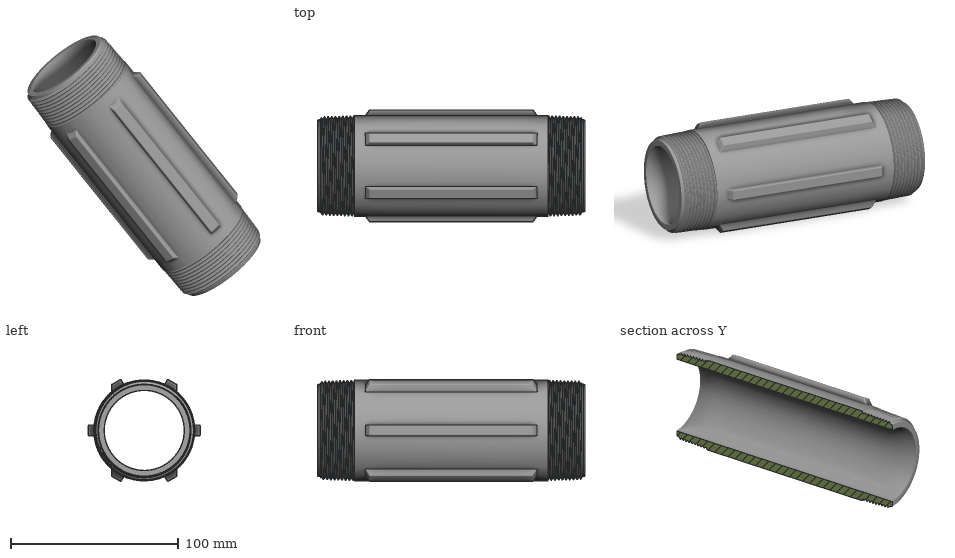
import cadquery as cq
import math

total_length = 160.02
body_length = 115.6
body_radius = 60.45 / 2
bore_radius = 47.75 / 2
half_length = total_length / 2
half_body = body_length / 2

pitch = 25.4 / 11.5
radius_gain = 1 / 32
end_root_radius = 27.9
thread_depth = 1.4
crest_width = 0.1 * pitch
flank_run = thread_depth * math.tan(math.radians(30))
root_width = pitch - crest_width - 2 * flank_run
outer_crest_distance = 2.5
inner_turns = 10
thread_turns = inner_turns + 2
core_depth = 6.0

lead_radius = 27.7
lead_length = 1.7
lead_slope = math.radians(60)
chamfer_length = 1.0
end_face_radius = 27.3

rib_spacing = 60
rib_tip_radius = 67.06 / 2
rib_root_radius = 28.5
rib_width = 6.5
rib_tip_length = 97.6
rib_end_draft = math.radians(36)
rib_edge_radius = 0.7


def make_thread_rod():
    """Right-hand tapered thread on a core, along Z with its nominal end face at Z = 0."""
    crest_start = root_width + flank_run
    tooth = [
        (0, 0),
        (root_width, 0),
        (crest_start, thread_depth),
        (crest_start + crest_width, thread_depth),
        (pitch, 0),
    ]
    core_line = [(pitch, -core_depth), (0, -core_depth)]
    rod_start = -outer_crest_distance - inner_turns * pitch - crest_start - crest_width / 2
    cone_angle = math.degrees(math.atan(radius_gain))
    slant_pitch = pitch * math.hypot(1, radius_gain)

    def place(corner, turn):
        axial, height = corner
        z = rod_start + turn * pitch + axial
        return end_root_radius - radius_gain * z + height, z

    def helix_turn(corner, turn):
        radius, z = place(corner, turn)
        wire = cq.Wire.makeHelix(slant_pitch, slant_pitch, radius, angle=-cone_angle)
        return wire.translate(cq.Vector(0, 0, z)).Edges()[0]

    def strip(first_corner, second_corner, turn):
        return cq.Face.makeRuledSurface(helix_turn(first_corner, turn), helix_turn(second_corner, turn))

    faces = []
    for turn in range(thread_turns):
        for first_corner, second_corner in zip(tooth, tooth[1:]):
            faces.append(strip(first_corner, second_corner, turn))
        faces.append(strip(*core_line, turn))

    for turn in (0, thread_turns):
        faces.append(strip(core_line[-1], tooth[0], turn))
        section = [place(corner, turn) for corner in tooth + core_line]
        points = [cq.Vector(radius, 0, z) for radius, z in section]
        faces.append(cq.Face.makeFromWires(cq.Wire.makePolygon(points, close=True)))

    return cq.Workplane(obj=cq.Solid.makeSolid(cq.Shell.makeShell(faces)))


def make_threaded_end():
    """Threaded end on the +X side before boring, from the barrel shoulder to the end face."""
    lead_start = half_length - lead_length
    lead_rise = body_radius - lead_radius
    envelope = [
        (half_body, 0),
        (half_body, body_radius),
        (lead_start - lead_rise / math.tan(lead_slope), body_radius),
        (lead_start, lead_radius),
        (half_length - chamfer_length, lead_radius),
        (half_length, end_face_radius),
        (half_length, 0),
    ]
    blank = cq.Workplane("XY").polyline(envelope).close().revolve(360, (0, 0, 0), (1, 0, 0))
    rod = make_thread_rod().rotate((0, 0, 0), (0, 1, 0), 90).translate((half_length, 0, 0))
    return blank.intersect(rod, clean=False)


def make_rib(angle):
    """Rib at an angle up from +Y, with drafted ends and its lower flank kept vertical if inclined."""
    height = rib_tip_radius - rib_root_radius
    half_tip = rib_tip_length / 2
    half_root = half_tip + height * math.tan(rib_end_draft)
    side_profile = [
        (-half_root, rib_root_radius),
        (half_root, rib_root_radius),
        (half_tip, rib_tip_radius),
        (-half_tip, rib_tip_radius),
    ]
    flank_lean = height / math.tan(math.radians(angle)) if angle else 0
    section = [
        (-rib_width / 2, rib_root_radius),
        (-rib_width / 2, rib_tip_radius),
        (rib_width / 2, rib_tip_radius),
        (rib_width / 2 + flank_lean, rib_root_radius),
    ]
    slab = cq.Workplane("XZ").polyline(side_profile).close().extrude(body_radius, both=True)
    bar = cq.Workplane("YZ").polyline(section).close().extrude(half_root, both=True)
    rib = slab.intersect(bar).edges("not <Z").fillet(rib_edge_radius)
    return rib.rotate((0, 0, 0), (1, 0, 0), angle - 90)


def make_barrel():
    """Solid barrel between the shoulders, with its ribs."""
    barrel = cq.Workplane("YZ").circle(body_radius).extrude(half_body, both=True)
    side_rib = make_rib(0)
    upper_rib = make_rib(rib_spacing)
    for turn in (0, 180):
        barrel = barrel.union(side_rib.rotate((0, 0, 0), (0, 0, 1), turn))
        turned_rib = upper_rib.rotate((0, 0, 0), (0, 0, 1), turn)
        barrel = barrel.union(turned_rib)
        barrel = barrel.union(turned_rib.rotate((0, 0, 0), (0, 1, 0), 180))
    return barrel


threaded_end = make_threaded_end()
opposite_end = threaded_end.rotate((0, 0, 0), (0, 1, 0), 180)
bore = cq.Workplane("YZ").circle(bore_radius).extrude(half_length, both=True)
result = make_barrel()
for part in (threaded_end, opposite_end):
    result = result.union(part, clean=False)
result = result.cut(bore, clean=False)